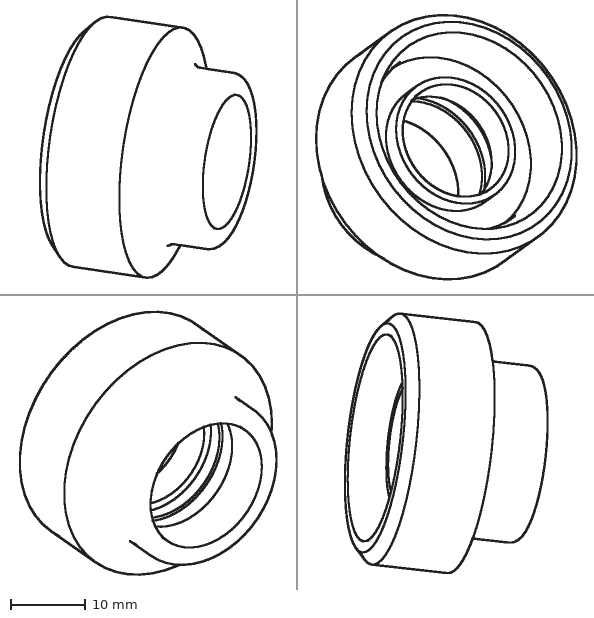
import cadquery as cq
import math

total_length = 21.0
body_radius = 34.0 / 2
body_end_x = 12.0
front_chamfer = 1.5

spigot_radius = 24.0 / 2
spigot_end_fillet = 1.0
shoulder_angle = math.radians(10.0)
blend_radius = 3.0

mouth_radius = 28.0 / 2
socket_radius = 25.8 / 2
mouth_depth = 4.0
socket_depth = 7.0
tube_outer_radius = 18.0 / 2
tube_inner_radius = 16.0 / 2
tube_start_x = 4.0

rear_bore_radius = 18.2 / 2
rear_bore_start_x = 9.0
groove_radius = 19.2 / 2
groove_start_x = 11.0
groove_width = 3.0


def cylinder(radius, start_x, end_x):
    """Solid cylinder on the X axis."""
    return cq.Workplane("YZ").workplane(offset=start_x).circle(radius).extrude(end_x - start_x)


def make_outer_body():
    """Revolve the outside outline, drawn as (x, radius)."""
    cone_end_radius = spigot_radius + blend_radius * (1 - math.sin(shoulder_angle))
    cone_end_x = body_end_x + (body_radius - cone_end_radius) * math.tan(shoulder_angle)
    blend_center_x = cone_end_x + blend_radius * math.cos(shoulder_angle)
    blend_center_radius = spigot_radius + blend_radius
    mid_angle = (shoulder_angle + math.pi / 2) / 2
    blend_mid = (
        blend_center_x - blend_radius * math.cos(mid_angle),
        blend_center_radius - blend_radius * math.sin(mid_angle),
    )
    outline = (
        cq.Workplane("XY")
        .lineTo(0, body_radius - front_chamfer)
        .lineTo(front_chamfer, body_radius)
        .lineTo(body_end_x, body_radius)
        .lineTo(cone_end_x, cone_end_radius)
        .threePointArc(blend_mid, (blend_center_x, spigot_radius))
        .lineTo(total_length, spigot_radius)
        .lineTo(total_length, 0)
        .close()
    )
    body = outline.revolve(360, (0, 0, 0), (1, 0, 0))
    return body.faces(">X").edges().fillet(spigot_end_fillet)


def make_socket():
    """Cavity of the -X end, leaving the central tube standing."""
    cavity = (
        cq.Workplane("XY")
        .lineTo(0, mouth_radius)
        .lineTo(mouth_depth, socket_radius)
        .lineTo(socket_depth, socket_radius)
        .lineTo(socket_depth, 0)
        .close()
        .revolve(360, (0, 0, 0), (1, 0, 0))
    )
    return cavity.cut(cylinder(tube_outer_radius, tube_start_x, socket_depth))


def make_through_bore():
    """Tube bore, wider rear bore and the groove in its wall."""
    bore = cylinder(tube_inner_radius, 0, total_length)
    bore = bore.union(cylinder(rear_bore_radius, rear_bore_start_x, total_length))
    return bore.union(cylinder(groove_radius, groove_start_x, groove_start_x + groove_width))


result = make_outer_body().cut(make_socket()).cut(make_through_bore())